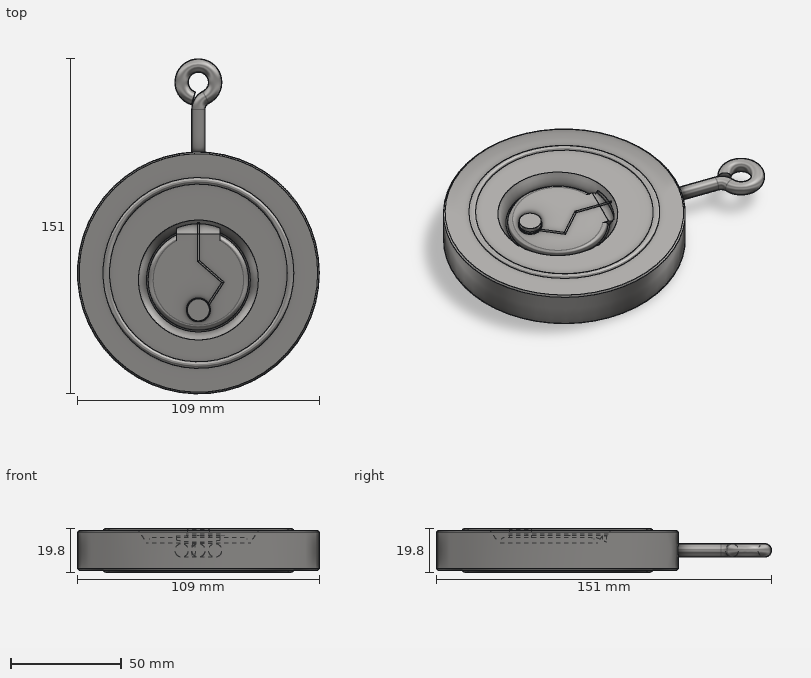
import cadquery as cq
import math

housing_diameter = 109.0
housing_height = 18.0
housing_chamfer = 0.8
overall_height = 19.8
housing_top = housing_height / 2

seal_section_radius = 1.7
seal_radius = 41.5
seal_centre_z = overall_height / 2 - seal_section_radius

recess_y = -3.2
recess_top_radius = 27.0
recess_floor_radius = 23.4
recess_depth = 5.6
recess_floor = housing_top - recess_depth

flap_radius = 22.6
flap_fillet = 2.3
flap_height = 2.4
flap_top = recess_floor + flap_height
lug_width = 19.6
lug_flat_end = 17.5
lug_drop = 2.1
notch_radius = 25.4
notch_floor = flap_top - lug_drop
notch_end = recess_y + notch_radius

knob_diameter = 10.0
knob_height = 3.6
knob_y = -16.6
wire_diameter = 0.8
wire_z = flap_top + 1.2
wire_wall_end = 23.5
wire_bends = [(0, 5.5), (11.0, -4.2)]

rod_radius = 3.0
eye_radius = 7.5
neck_radius = 6.0
eye_end_angle = 253
overall_length = 151.0
rod_start = housing_diameter / 2 - 4.5
eye_y = overall_length - housing_diameter / 2 - eye_radius - rod_radius


def disc(radius, bottom, height, y=0):
    return cq.Workplane("XY", origin=(0, y, bottom)).circle(radius).extrude(height)


def ring(radius, section_radius, y, z):
    centre = cq.Vector(0, y, z)
    return cq.Workplane(cq.Solid.makeTorus(radius, section_radius, centre, cq.Vector(0, 0, 1)))


def housing():
    body = disc(housing_diameter / 2, -housing_top, housing_height)
    body = body.edges().chamfer(housing_chamfer)
    for z in (-seal_centre_z, seal_centre_z):
        body = body.union(ring(seal_radius, seal_section_radius, 0, z))
    recess = cq.Workplane(
        cq.Solid.makeCone(
            recess_floor_radius,
            recess_top_radius,
            recess_depth,
            cq.Vector(0, recess_y, recess_floor),
        )
    )
    notch_length = notch_end - lug_flat_end
    notch_limits = cq.Workplane("XY").box(
        lug_width, notch_length, overall_height, centered=(True, False, False)
    ).translate((0, lug_flat_end, notch_floor))
    notch = disc(notch_radius, notch_floor, housing_top - notch_floor, recess_y).intersect(notch_limits)
    return body.cut(recess).cut(notch)


def flap():
    plate = disc(flap_radius, recess_floor, flap_height, recess_y)
    plate = plate.faces(">Z").edges().fillet(flap_fillet)
    lug_space = cq.Workplane("XY").box(
        lug_width, notch_end - lug_flat_end, flap_height, centered=(True, False, False)
    ).translate((0, lug_flat_end, recess_floor))
    plate = plate.cut(lug_space)
    lug = (
        cq.Workplane("YZ", origin=(-lug_width / 2, 0, 0))
        .moveTo(recess_y, recess_floor)
        .lineTo(recess_y, flap_top)
        .lineTo(lug_flat_end, flap_top)
        .lineTo(notch_end, notch_floor)
        .lineTo(notch_end, recess_floor)
        .close()
        .extrude(lug_width)
    )
    knob = disc(knob_diameter / 2, flap_top, knob_height, knob_y)
    return plate.union(lug).union(knob)


def spring():
    coil_radius = knob_diameter / 2
    coil_angle = math.radians(27)
    coil_start = (coil_radius * math.cos(coil_angle), knob_y + coil_radius * math.sin(coil_angle))
    points = [(0, wire_wall_end)] + wire_bends + [coil_start]
    path = cq.Workplane("XY", origin=(0, 0, wire_z)).polyline(points)
    section = cq.Workplane("XZ", origin=(0, wire_wall_end, wire_z)).circle(wire_diameter / 2)
    wire = section.sweep(path, transition="right")
    return wire.union(ring(coil_radius, wire_diameter / 2, knob_y, wire_z))


def eye_bolt():
    centre_distance = eye_radius + neck_radius
    neck_angle = math.acos(neck_radius / centre_distance)
    neck_y = eye_y - centre_distance * math.sin(neck_angle)

    def neck_point(angle):
        return (neck_radius - neck_radius * math.cos(angle), neck_y + neck_radius * math.sin(angle))

    def eye_point(angle):
        return (eye_radius * math.cos(angle), eye_y + eye_radius * math.sin(angle))

    eye_start = -neck_angle
    eye_end = math.radians(eye_end_angle)
    path = (
        cq.Workplane("XY")
        .moveTo(0, rod_start)
        .lineTo(0, neck_y)
        .threePointArc(neck_point(neck_angle / 2), neck_point(neck_angle))
        .threePointArc(eye_point((eye_start + eye_end) / 2), eye_point(eye_end))
    )
    return cq.Workplane("XZ", origin=(0, rod_start, 0)).circle(rod_radius).sweep(path)


result = housing().union(flap()).union(eye_bolt()).union(spring())